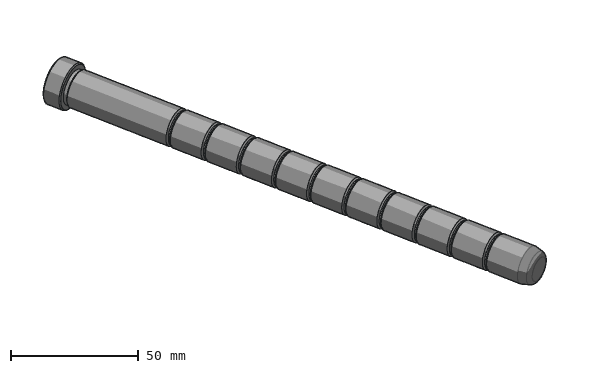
import cadquery as cq
import math

TOTAL_LENGTH = 220.0
HEAD_DIAMETER = 20.0
HEAD_LENGTH = 8.0
HEAD_CHAMFER = 0.5
FACE_CHAMFER = 0.5
SHANK_DIAMETER = 16.0

UNDERCUT_DIAMETER = 15.0
UNDERCUT_LENGTH = 2.0
UNDERCUT_SLOPE = 0.5

GROOVE_COUNT = 10
GROOVE_PITCH = 16.0
FIRST_GROOVE_X = 56.0
GROOVE_WIDTH = 2.0
GROOVE_FLOOR_WIDTH = 0.6
GROOVE_DEPTH = 0.6

TIP_LENGTH = 5.0
TIP_ANGLE = 15.0
TIP_ROUNDING = 2.0

CENTRE_MOUTH_DIAMETER = 4.25
CENTRE_BORE_DIAMETER = 2.0
CENTRE_DEPTH = 4.0
COUNTERSINK_ANGLE = 60.0
DRILL_POINT_ANGLE = 120.0

HEAD_RADIUS = HEAD_DIAMETER / 2
SHANK_RADIUS = SHANK_DIAMETER / 2
UNDERCUT_RADIUS = UNDERCUT_DIAMETER / 2


def pin_blank():
    """Head, undercut and tapered shank, revolved about X."""
    undercut_end = HEAD_LENGTH + UNDERCUT_LENGTH
    tip_start = TOTAL_LENGTH - TIP_LENGTH
    end_radius = SHANK_RADIUS - TIP_LENGTH * math.tan(math.radians(TIP_ANGLE))
    blank = (
        cq.Workplane("XZ")
        .moveTo(0, 0)
        .lineTo(0, HEAD_RADIUS - FACE_CHAMFER)
        .lineTo(FACE_CHAMFER, HEAD_RADIUS)
        .lineTo(HEAD_LENGTH - HEAD_CHAMFER, HEAD_RADIUS)
        .lineTo(HEAD_LENGTH, HEAD_RADIUS - HEAD_CHAMFER)
        .lineTo(HEAD_LENGTH, UNDERCUT_RADIUS)
        .lineTo(undercut_end - UNDERCUT_SLOPE, UNDERCUT_RADIUS)
        .lineTo(undercut_end, SHANK_RADIUS)
        .lineTo(tip_start, SHANK_RADIUS)
        .lineTo(TOTAL_LENGTH, end_radius)
        .lineTo(TOTAL_LENGTH, 0)
        .close()
        .revolve(360, (0, 0, 0), (1, 0, 0))
    )
    return blank.faces(">X").edges().fillet(TIP_ROUNDING)


def groove_ring(x):
    """Ring that cuts one groove centred at the given X."""
    half_width = GROOVE_WIDTH / 2
    half_floor = GROOVE_FLOOR_WIDTH / 2
    floor_radius = SHANK_RADIUS - GROOVE_DEPTH
    return (
        cq.Workplane("XZ")
        .moveTo(x - half_width, SHANK_RADIUS)
        .lineTo(x - half_floor, floor_radius)
        .lineTo(x + half_floor, floor_radius)
        .lineTo(x + half_width, SHANK_RADIUS)
        .lineTo(x + half_width, HEAD_RADIUS)
        .lineTo(x - half_width, HEAD_RADIUS)
        .close()
        .revolve(360, (0, 0, 0), (1, 0, 0))
    )


def centre_hole():
    """Tool shape of the centre hole, revolved about X."""
    mouth_radius = CENTRE_MOUTH_DIAMETER / 2
    bore_radius = CENTRE_BORE_DIAMETER / 2
    countersink_depth = (mouth_radius - bore_radius) / math.tan(math.radians(COUNTERSINK_ANGLE / 2))
    point_length = bore_radius / math.tan(math.radians(DRILL_POINT_ANGLE / 2))
    return (
        cq.Workplane("XZ")
        .moveTo(0, 0)
        .lineTo(0, mouth_radius)
        .lineTo(countersink_depth, bore_radius)
        .lineTo(CENTRE_DEPTH, bore_radius)
        .lineTo(CENTRE_DEPTH + point_length, 0)
        .close()
        .revolve(360, (0, 0, 0), (1, 0, 0))
    )


result = pin_blank().cut(centre_hole())
for index in range(GROOVE_COUNT):
    result = result.cut(groove_ring(FIRST_GROOVE_X + index * GROOVE_PITCH))